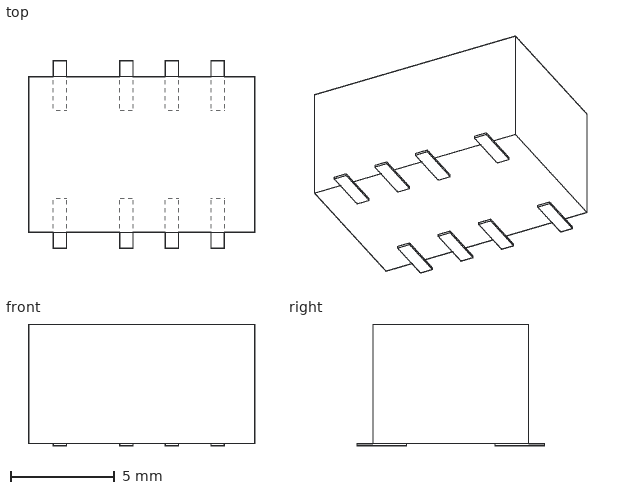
import cadquery as cq

body_length = 10.9
body_width = 7.5
body_height = 5.75

lead_width = 0.65
lead_length = 2.4
lead_thickness = 0.1
lead_span = 9.04
lead_center_y = (lead_span - lead_length) / 2

end_lead_x = -3.945
end_lead_gap = 3.2
lead_pitch = 2.2
group_lead_count = 3
group_start_x = end_lead_x + end_lead_gap
lead_xs = [end_lead_x] + [group_start_x + i * lead_pitch for i in range(group_lead_count)]


def make_housing():
    """Plain rectangular block standing on top of the leads."""
    return (
        cq.Workplane("XY")
        .workplane(offset=lead_thickness)
        .rect(body_length, body_width)
        .extrude(body_height)
    )


def make_lead(x, side):
    """One flat lead; side is -1 for the -Y row and +1 for the +Y row."""
    return (
        cq.Workplane("XY")
        .center(x, side * lead_center_y)
        .rect(lead_width, lead_length)
        .extrude(lead_thickness)
    )


housing = make_housing()
leads = [make_lead(x, side) for side in (-1, 1) for x in lead_xs]

result = cq.Compound.makeCompound([housing.val(), *[lead.val() for lead in leads]])